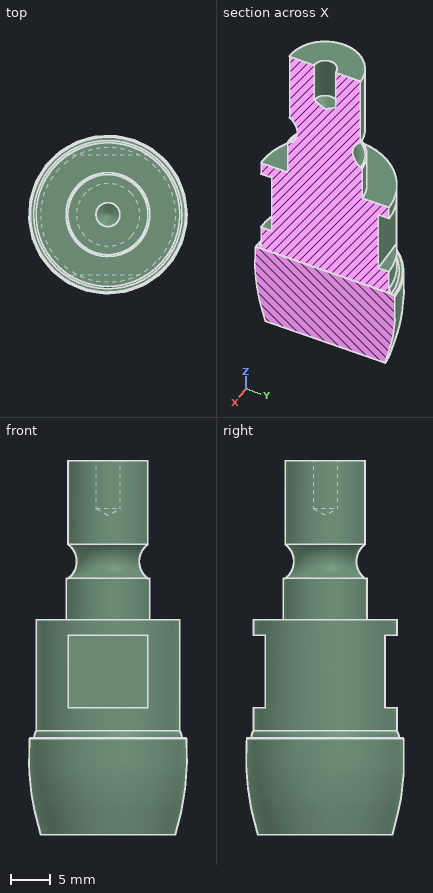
import cadquery as cq

TOTAL_HEIGHT = 46.95
SHANK_HEAD_BASE = 36.45
NECK_BASE = 32.15
BODY_TOP = 27.0
COLLAR_TOP = 13.05
SLEEVE_TOP = 12.2

SHANK_HEAD_RADIUS = 5.02
NECK_RADIUS = 3.95
SHANK_BASE_RADIUS = 5.25
BODY_RADIUS = 9.0
COLLAR_RADIUS = 9.3
COLLAR_SHOULDER_RADIUS = 9.2
COLLAR_SHOULDER_HEIGHT = 12.68

SLEEVE_TOP_RADIUS = 9.85
SLEEVE_MIDDLE_RADIUS = 9.7
SLEEVE_BOTTOM_RADIUS = 8.45
SLEEVE_CHAMFER = 0.15

FLAT_TO_AXIS = 7.5
FLAT_HEIGHT = 9.05
FLAT_TOP = BODY_TOP - 1.95

HOLE_RADIUS = 1.5
HOLE_DEPTH = 6.0
HOLE_TIP_DEPTH = 6.85


def revolve_profile(profile):
    """Turn a closed half profile (radius, height) about the Z axis."""
    return profile.close().revolve(360, (0, 0, 0), (0, 1, 0))


def make_turned_blank():
    """Stepped spindle with a round neck groove and a rounded collar."""
    neck_middle = (SHANK_HEAD_BASE + NECK_BASE) / 2
    return revolve_profile(
        cq.Workplane("XZ")
        .moveTo(0, SLEEVE_TOP)
        .lineTo(COLLAR_RADIUS, SLEEVE_TOP)
        .threePointArc((COLLAR_SHOULDER_RADIUS, COLLAR_SHOULDER_HEIGHT), (BODY_RADIUS, COLLAR_TOP))
        .lineTo(BODY_RADIUS, BODY_TOP)
        .lineTo(SHANK_BASE_RADIUS, BODY_TOP)
        .lineTo(SHANK_BASE_RADIUS, NECK_BASE)
        .lineTo(SHANK_HEAD_RADIUS, NECK_BASE)
        .threePointArc((NECK_RADIUS, neck_middle), (SHANK_HEAD_RADIUS, SHANK_HEAD_BASE))
        .lineTo(SHANK_HEAD_RADIUS, TOTAL_HEIGHT)
        .lineTo(0, TOTAL_HEIGHT)
    )


def make_centre_hole():
    """Cutter for the drilled hole, including the drill-point cone."""
    return revolve_profile(
        cq.Workplane("XZ")
        .moveTo(0, TOTAL_HEIGHT)
        .lineTo(HOLE_RADIUS, TOTAL_HEIGHT)
        .lineTo(HOLE_RADIUS, TOTAL_HEIGHT - HOLE_DEPTH)
        .lineTo(0, TOTAL_HEIGHT - HOLE_TIP_DEPTH)
    )


def make_flat_cutter(side):
    """Block that removes everything beyond the flat on one side (+1 or -1) in Y."""
    depth = BODY_RADIUS
    return cq.Workplane("XY").box(2 * BODY_RADIUS, depth, FLAT_HEIGHT).translate(
        (0, side * (FLAT_TO_AXIS + depth / 2), FLAT_TOP - FLAT_HEIGHT / 2)
    )


def make_spindle():
    spindle = make_turned_blank().cut(make_centre_hole())
    for side in (-1, 1):
        spindle = spindle.cut(make_flat_cutter(side))
    return spindle


def make_sleeve():
    """Solid barrel below the spindle, with curved sides and a chamfered top rim."""
    side_top = SLEEVE_TOP - SLEEVE_CHAMFER
    return revolve_profile(
        cq.Workplane("XZ")
        .lineTo(SLEEVE_BOTTOM_RADIUS, 0)
        .threePointArc((SLEEVE_MIDDLE_RADIUS, side_top / 2), (SLEEVE_TOP_RADIUS, side_top))
        .lineTo(SLEEVE_TOP_RADIUS - SLEEVE_CHAMFER, SLEEVE_TOP)
        .lineTo(0, SLEEVE_TOP)
    )


spindle = make_spindle()
sleeve = make_sleeve()

result = cq.Compound.makeCompound([spindle.val(), sleeve.val()])